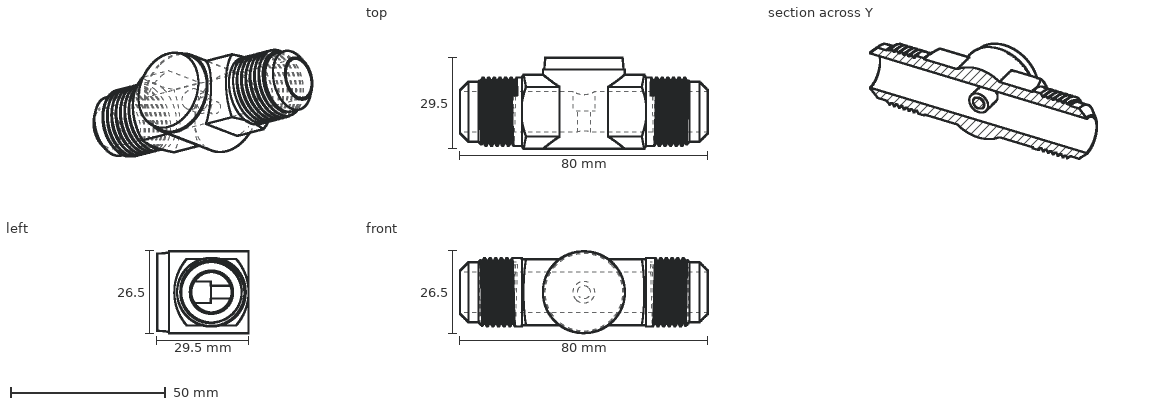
import cadquery as cq
import math

barrel_d = 26.5
barrel_front_y = -12.0
barrel_shoulder_y = 13.7
barrel_rear_y = 17.5
taper_base_d = 25.7
taper_end_d = 25.0

bore_d = 13.0
stem_thick_d = 7.0
stem_thin_d = 4.2
stem_step_y = 0.2

arm_end_x = 40.0
wrench_end_x = 20.0
wrench_height = 21.4
wrench_flat_width = 16.0
wrench_bulge_width = 24.0
wrench_chamfer_angle = 30.0
corner_clearance = 1.0

seat_tip_d = 14.0
nose_d = 19.5
seat_length = (nose_d - seat_tip_d) / 2
nose_length = 6.0
thread_d = 22.18
thread_root_d = 20.1
inch = 25.4
thread_pitch = inch / 14
thread_flank_angle = 30.0
groove_width = 1.65
groove_clearance = 0.05
groove_turns = 7
groove_end_x = 22.25
groove_end_angle = 29.0


def make_barrel():
    """Revolved barrel with a slightly tapered rear end."""
    profile = [
        (0, barrel_front_y),
        (barrel_d / 2, barrel_front_y),
        (barrel_d / 2, barrel_shoulder_y),
        (taper_base_d / 2, barrel_shoulder_y),
        (taper_end_d / 2, barrel_rear_y),
        (0, barrel_rear_y),
    ]
    return cq.Workplane("XY").polyline(profile).close().revolve(360, (0, 0), (0, 1))


def make_wrench_bar():
    """Bar with flat top and bottom and bowed sides, its end corners chamfered conically."""
    half_flat = wrench_flat_width / 2
    half_bulge = wrench_bulge_width / 2
    half_height = wrench_height / 2
    bar = (
        cq.Workplane("YZ", origin=(-wrench_end_x, 0, 0))
        .moveTo(-half_flat, half_height)
        .lineTo(half_flat, half_height)
        .threePointArc((half_bulge, 0), (half_flat, -half_height))
        .lineTo(-half_flat, -half_height)
        .threePointArc((-half_bulge, 0), (-half_flat, half_height))
        .close()
        .extrude(2 * wrench_end_x)
    )
    cone_start_r = thread_d / 2
    corner_r = math.hypot(half_flat, half_height) + corner_clearance
    chamfer_length = (corner_r - cone_start_r) * math.tan(math.radians(wrench_chamfer_angle))
    envelope = [
        (-wrench_end_x, 0),
        (-wrench_end_x, cone_start_r),
        (-wrench_end_x + chamfer_length, corner_r),
        (wrench_end_x - chamfer_length, corner_r),
        (wrench_end_x, cone_start_r),
        (wrench_end_x, 0),
    ]
    return bar.intersect(cq.Workplane("XY").polyline(envelope).close().revolve(360, (0, 0), (1, 0)))


def make_thread_groove():
    """Helical groove of the -X nose, ending abruptly in the collar."""
    root_r = thread_root_d / 2
    outer_r = thread_d / 2 + groove_clearance
    flank_slope = math.tan(math.radians(thread_flank_angle))
    outer_half = groove_width / 2 + groove_clearance * flank_slope
    root_half = outer_half - (outer_r - root_r) * flank_slope
    helix = cq.Wire.makeHelix(thread_pitch, groove_turns * thread_pitch, root_r)
    groove = (
        cq.Workplane("XZ")
        .polyline([
            (root_r, -root_half),
            (outer_r, -outer_half),
            (outer_r, outer_half),
            (root_r, root_half),
        ])
        .close()
        .sweep(cq.Workplane(obj=helix), isFrenet=True)
    )
    start_x = -groove_end_x - groove_turns * thread_pitch
    return (
        groove.rotate((0, 0, 0), (0, 1, 0), 90)
        .rotate((0, 0, 0), (1, 0, 0), 180 - groove_end_angle)
        .translate((start_x, 0, 0))
    )


def make_nose():
    """Threaded nose on the -X side, from the flared seat to the collar against the bar."""
    thread_start_x = -arm_end_x + nose_length
    lead_in = (thread_d - nose_d) / 2
    profile = [
        (-arm_end_x, 0),
        (-arm_end_x, seat_tip_d / 2),
        (-arm_end_x + seat_length, nose_d / 2),
        (thread_start_x, nose_d / 2),
        (thread_start_x + lead_in, thread_d / 2),
        (-wrench_end_x, thread_d / 2),
        (-wrench_end_x, 0),
    ]
    blank = cq.Workplane("XY").polyline(profile).close().revolve(360, (0, 0), (1, 0))
    return blank.cut(make_thread_groove())


def y_cylinder(diameter, start_y, end_y):
    """Cylinder on the Y axis between two positions."""
    return (
        cq.Workplane("XZ", origin=(0, start_y, 0))
        .circle(diameter / 2)
        .extrude(start_y - end_y)
    )


def make_stem():
    """Stepped stem joining the front and rear walls of the bore."""
    thin = y_cylinder(stem_thin_d, barrel_front_y, stem_step_y)
    thick = y_cylinder(stem_thick_d, stem_step_y, barrel_rear_y)
    return thin.union(thick)


nose = make_nose()
bore = cq.Workplane("YZ", origin=(-arm_end_x, 0, 0)).circle(bore_d / 2).extrude(2 * arm_end_x)

body = make_barrel().union(make_wrench_bar()).union(nose).union(nose.mirror("YZ"))
result = body.cut(bore).union(make_stem())